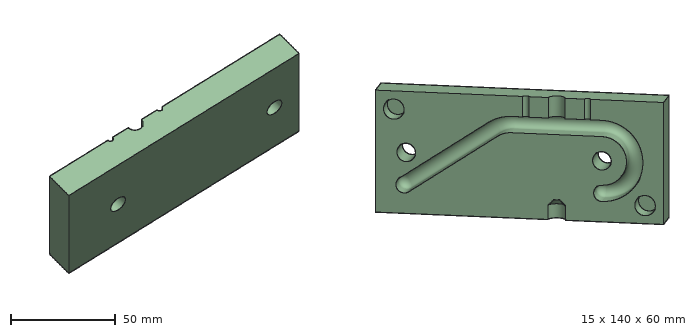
import cadquery as cq
import math

length = 140.0
height = 60.0
thickness = 15.0
half_length = length / 2
half_height = height / 2

bolt_diameter = 9.0
bolt_end_distance = 15.0
bolt_spacing = 95.0
dowel_diameter = 10.0
dowel_edge_distance = 9.0
dowel_depth = 10.0

channel_width = 8.0
channel_wall_depth = 8.0
bend_radius = 16.0
straight_length = 44.0
slope_end_distance = 14.0
channel_radius = channel_width / 2

groove_center_u = half_length - 52.0
main_groove_diameter = 8.0
side_groove_diameter = 3.0
side_groove_offset = 15.0
socket_diameter = 8.5
socket_length = 7.0
socket_tip_length = 3.0
socket_tip_diameter = 2.8

face_plane = cq.Plane(origin=(-thickness / 2, 0, 0), xDir=(0, -1, 0), normal=(-1, 0, 0))


def on_face():
    return cq.Workplane(face_plane)


def blind_holes(centers, diameter, depth):
    return on_face().pushPoints(centers).circle(diameter / 2).extrude(-depth)


def channel_end(u, v):
    """Round end of the channel: a straight cylinder closed by a ball."""
    wall = blind_holes([(u, v)], channel_width, channel_wall_depth)
    ball = on_face().workplane(offset=-channel_wall_depth).center(u, v).sphere(channel_radius)
    return wall.union(ball)


def channel():
    """Sloped run, bend, straight run and half-circle hook, with both ends rounded."""
    hook_u = -half_length + bolt_end_distance + bolt_spacing
    bend_u = hook_u - straight_length
    slope_end = (-half_length + slope_end_distance, -bend_radius)
    slope = 2 * math.atan(bend_radius / (bend_u - slope_end[0]))

    def on_bend(angle):
        return (bend_u - bend_radius * math.sin(angle), bend_radius * math.cos(angle))

    path = (
        on_face()
        .moveTo(*slope_end)
        .lineTo(*on_bend(slope))
        .threePointArc(on_bend(slope / 2), (bend_u, bend_radius))
        .lineTo(hook_u, bend_radius)
        .threePointArc((hook_u + bend_radius, 0), (hook_u, -bend_radius))
    )
    start_plane = cq.Plane(
        origin=face_plane.toWorldCoords(slope_end).toTuple(),
        xDir=(1, 0, 0),
        normal=(0, -math.cos(slope), math.sin(slope)),
    )
    section = (
        cq.Workplane(start_plane)
        .moveTo(0, -channel_radius)
        .lineTo(channel_wall_depth, -channel_radius)
        .threePointArc((channel_wall_depth + channel_radius, 0), (channel_wall_depth, channel_radius))
        .lineTo(0, channel_radius)
        .close()
    )
    run = section.sweep(path)
    return run.union(channel_end(*slope_end)).union(channel_end(hook_u, -bend_radius))


def top_groove(u, diameter):
    """Half-round groove from the top edge down to the straight channel run."""
    return (
        cq.Workplane("XY", origin=(-thickness / 2, -u, bend_radius))
        .circle(diameter / 2)
        .extrude(half_height - bend_radius)
    )


def bottom_socket():
    """Half-round socket from the bottom edge with a truncated conical tip."""
    return (
        cq.Workplane("XZ", origin=(-thickness / 2, -groove_center_u, -half_height))
        .lineTo(socket_diameter / 2, 0)
        .lineTo(socket_diameter / 2, socket_length)
        .lineTo(socket_tip_diameter / 2, socket_length + socket_tip_length)
        .lineTo(0, socket_length + socket_tip_length)
        .close()
        .revolve(360, (0, 0), (0, 1))
    )


bolt_u = -half_length + bolt_end_distance
bolt_centers = [(bolt_u, 0), (bolt_u + bolt_spacing, 0)]
dowel_u = half_length - dowel_edge_distance
dowel_v = half_height - dowel_edge_distance
dowel_centers = [(-dowel_u, dowel_v), (dowel_u, -dowel_v)]

result = cq.Workplane("XY").box(thickness, length, height)
result = result.cut(blind_holes(bolt_centers, bolt_diameter, 2 * thickness))
result = result.cut(blind_holes(dowel_centers, dowel_diameter, dowel_depth))
result = result.cut(channel())
result = result.cut(top_groove(groove_center_u, main_groove_diameter))
for side in (-1, 1):
    result = result.cut(top_groove(groove_center_u + side * side_groove_offset, side_groove_diameter))
result = result.cut(bottom_socket())